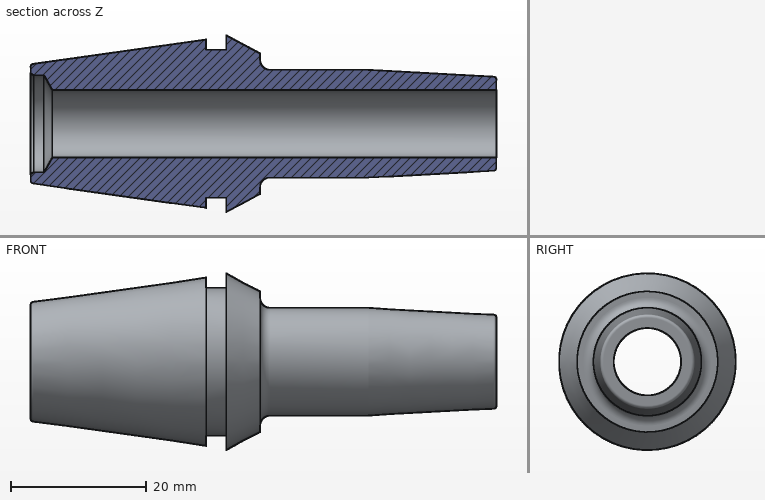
import cadquery as cq

length = 69.0
groove_start = 26.0
collar_start = 29.0
collar_end = 34.0
spigot_taper_start = 50.0

head_small_radius = 8.8
head_large_radius = 12.5
groove_radius = 11.0
collar_large_radius = 13.1
collar_small_radius = 10.4
spigot_radius = 8.0
spigot_tip_radius = 7.0

end_fillet = 0.5
neck_fillet = 1.45

bore_radius = 5.0
seat_radius = 7.2
mouth_radius = 7.45
mouth_depth = 0.5
seat_depth = 2.0
seat_cone_length = 1.25


def make_body():
    """Solid of revolution: tapered head, groove, conical collar and tapered spigot."""
    half_profile = (
        cq.Workplane("XY")
        .moveTo(0, 0)
        .lineTo(0, head_small_radius)
        .lineTo(groove_start, head_large_radius)
        .lineTo(groove_start, groove_radius)
        .lineTo(collar_start, groove_radius)
        .lineTo(collar_start, collar_large_radius)
        .lineTo(collar_end, collar_small_radius)
        .lineTo(collar_end, spigot_radius + neck_fillet)
        .radiusArc((collar_end + neck_fillet, spigot_radius), -neck_fillet)
        .lineTo(spigot_taper_start, spigot_radius)
        .lineTo(length, spigot_tip_radius)
        .lineTo(length, 0)
        .close()
    )
    body = half_profile.revolve(360, (0, 0), (1, 0))
    return body.faces("<X or >X").edges().fillet(end_fillet)


def make_bore():
    """Flared mouth, cylindrical seat, countersink and through bore as one cutter."""
    half_profile = (
        cq.Workplane("XY")
        .moveTo(0, 0)
        .lineTo(0, mouth_radius)
        .lineTo(mouth_depth, seat_radius)
        .lineTo(seat_depth, seat_radius)
        .lineTo(seat_depth + seat_cone_length, bore_radius)
        .lineTo(length, bore_radius)
        .lineTo(length, 0)
        .close()
    )
    return half_profile.revolve(360, (0, 0), (1, 0))


result = make_body().cut(make_bore())